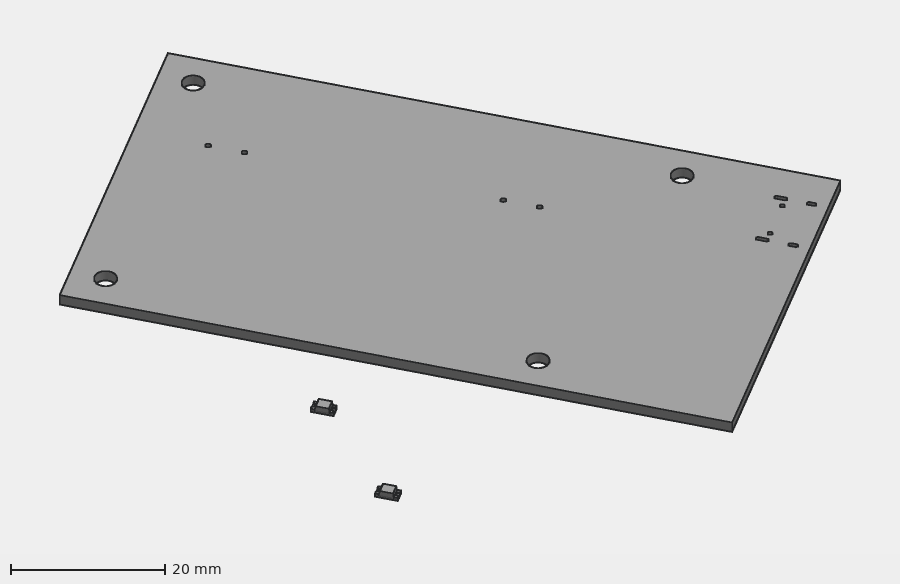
import cadquery as cq
import math

BOARD_LENGTH = 90.9
BOARD_WIDTH = 50.3
BOARD_THICKNESS = 1.6
TOTAL_HEIGHT = 2.2
BOARD_BOTTOM = TOTAL_HEIGHT - BOARD_THICKNESS

MOUNT_DIAMETER = 3.0
MOUNT_INSET = 4.8
UPPER_RIGHT_MOUNT_X = 70.9
LOWER_RIGHT_MOUNT_X = 63.3

LEAD_DIAMETER = 0.76
LEAD_PITCH = 4.9
LEFT_PAIR_CENTER = (12.6, 34.0)
RIGHT_PAIR_CENTER = (52.5, 34.3)

CONNECTOR_Y = 40.5
SLOT_PITCH = 8.55
SLOT_WIDTH = 0.6
LONG_SLOT_LENGTH = 1.7
LONG_SLOT_X = 84.5
SHORT_SLOT_LENGTH = 1.3
SHORT_SLOT_X = 88.7
PEG_HOLE_DIAMETER = 0.65
PEG_HOLE_PITCH = 5.7
PEG_HOLE_X = 85.1

LAMP_LENGTH = 3.1
LAMP_WIDTH = 1.55
BASE_HEIGHT = 0.4
PAD_HEIGHT = 0.2
NOTCH_DIAMETER = 0.8
LENS_HEIGHT = 0.77
LENS_TOP_LENGTH = 1.8
LENS_DRAFT = 8.0
LENS_FOOT_LENGTH = LENS_TOP_LENGTH + 2 * LENS_HEIGHT * math.tan(math.radians(LENS_DRAFT))

TOTAL_DEPTH = 75.0
FIRST_LAMP_X = 38.6
LAMP_STEP_X = 12.7
LAMP_STEP_Y = 13.9
SECOND_LAMP_Y = BOARD_WIDTH - TOTAL_DEPTH + LAMP_WIDTH / 2
LAMP_CENTERS = [
    (FIRST_LAMP_X, SECOND_LAMP_Y + LAMP_STEP_Y),
    (FIRST_LAMP_X + LAMP_STEP_X, SECOND_LAMP_Y),
]


def mirrored_pair(x, pitch):
    """Two points at one X, placed evenly about the connector centre line."""
    return [(x, CONNECTOR_Y - pitch / 2), (x, CONNECTOR_Y + pitch / 2)]


def lead_pair(center):
    """Two points in a row along X, placed evenly about a centre."""
    x, y = center
    return [(x - LEAD_PITCH / 2, y), (x + LEAD_PITCH / 2, y)]


def make_board():
    board = cq.Workplane("XY", origin=(0, 0, BOARD_BOTTOM)).box(
        BOARD_LENGTH, BOARD_WIDTH, BOARD_THICKNESS, centered=False
    )
    underside = cq.Workplane("XY", origin=(0, 0, BOARD_BOTTOM))

    upper_mount_y = BOARD_WIDTH - MOUNT_INSET
    mount_points = [
        (MOUNT_INSET, MOUNT_INSET),
        (MOUNT_INSET, upper_mount_y),
        (LOWER_RIGHT_MOUNT_X, MOUNT_INSET),
        (UPPER_RIGHT_MOUNT_X, upper_mount_y),
    ]
    lead_points = lead_pair(LEFT_PAIR_CENTER) + lead_pair(RIGHT_PAIR_CENTER)
    peg_points = mirrored_pair(PEG_HOLE_X, PEG_HOLE_PITCH)
    round_holes = [
        (MOUNT_DIAMETER, mount_points),
        (LEAD_DIAMETER, lead_points),
        (PEG_HOLE_DIAMETER, peg_points),
    ]
    for diameter, points in round_holes:
        board = board.cut(underside.pushPoints(points).circle(diameter / 2).extrude(BOARD_THICKNESS))

    slots = [(LONG_SLOT_X, LONG_SLOT_LENGTH), (SHORT_SLOT_X, SHORT_SLOT_LENGTH)]
    for x, length in slots:
        points = mirrored_pair(x, SLOT_PITCH)
        board = board.cut(underside.pushPoints(points).slot2D(length, SLOT_WIDTH).extrude(BOARD_THICKNESS))
    return board


def make_pads():
    """The two end pads on top of the base, each with a round notch in its outer edge."""
    base_top = cq.Workplane("XY", origin=(0, 0, BASE_HEIGHT))
    end_points = [(-LAMP_LENGTH / 2, 0), (LAMP_LENGTH / 2, 0)]
    layer = base_top.rect(LAMP_LENGTH, LAMP_WIDTH).extrude(PAD_HEIGHT)
    lens_gap = base_top.rect(LENS_FOOT_LENGTH, LAMP_WIDTH).extrude(PAD_HEIGHT)
    notches = base_top.pushPoints(end_points).circle(NOTCH_DIAMETER / 2).extrude(PAD_HEIGHT)
    return layer.cut(lens_gap).cut(notches)


def make_lens():
    """A block standing on the base that narrows upward along X."""
    lens_top = BASE_HEIGHT + LENS_HEIGHT
    profile = [
        (-LENS_FOOT_LENGTH / 2, BASE_HEIGHT),
        (LENS_FOOT_LENGTH / 2, BASE_HEIGHT),
        (LENS_TOP_LENGTH / 2, lens_top),
        (-LENS_TOP_LENGTH / 2, lens_top),
    ]
    return cq.Workplane("XZ").polyline(profile).close().extrude(LAMP_WIDTH / 2, both=True)


def make_lamp(center):
    base = cq.Workplane("XY").rect(LAMP_LENGTH, LAMP_WIDTH).extrude(BASE_HEIGHT)
    lamp = base.union(make_pads(), clean=False).union(make_lens(), clean=False)
    x, y = center
    return lamp.translate((x, y, 0))


board = make_board()
lamps = [make_lamp(center) for center in LAMP_CENTERS]

result = cq.Compound.makeCompound([board.val(), *[lamp.val() for lamp in lamps]])